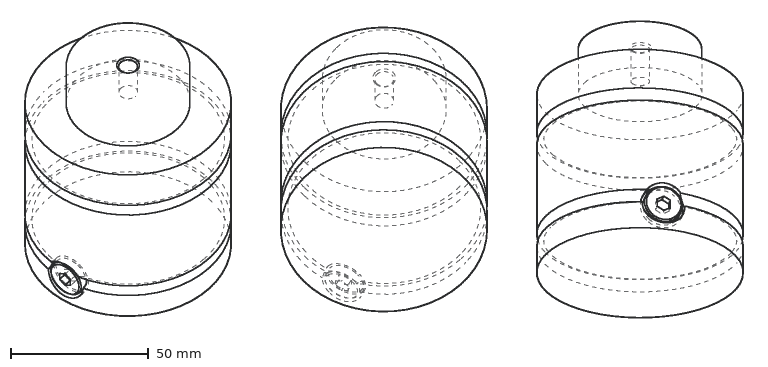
import cadquery as cq
import math

total_height = 91.0
body_diameter = 75.0
body_height = 72.0
rod_diameter = 45.0
rod_edge_radius = 1.0
body_radius = body_diameter / 2

groove_radius = 2.5
groove_heights = (13.0, 54.0)

hole_diameter = 6.8
hole_mouth_diameter = 8.2
hole_depth = 13.65
drill_tip_angle = 118.0

port_height = 10.6
port_diameter = 16.0
port_depth = 4.0
plug_diameter = 14.0
plug_recess = 0.5
plug_chamfer = 0.55
hex_across_flats = 5.0
hex_depth = 3.0


def make_body():
    body = cq.Workplane("XY").circle(body_radius).extrude(body_height)
    rod = cq.Workplane("XY").circle(rod_diameter / 2).extrude(total_height)
    return body.union(rod.faces(">Z").edges().fillet(rod_edge_radius))


def make_groove(height):
    """Ring whose section is a circle centred on the body surface."""
    return cq.Workplane("XY").add(
        cq.Solid.makeTorus(body_radius, groove_radius, cq.Vector(0, 0, height))
    )


def make_rod_hole():
    """Blind drilled hole with a 45 degree mouth chamfer."""
    radius = hole_diameter / 2
    mouth_radius = hole_mouth_diameter / 2
    mouth_depth = mouth_radius - radius
    tip_length = radius / math.tan(math.radians(drill_tip_angle / 2))
    floor = total_height - hole_depth
    return (
        cq.Workplane("XZ")
        .moveTo(0, total_height)
        .lineTo(mouth_radius, total_height)
        .lineTo(radius, total_height - mouth_depth)
        .lineTo(radius, floor)
        .lineTo(0, floor - tip_length)
        .close()
        .revolve(360, (0, 0, 0), (0, 1, 0))
    )


def port_plane(depth):
    """Plane facing -Y on the port axis, at a depth below the body surface."""
    origin = (0, depth - body_radius, port_height)
    return cq.Workplane("XZ", origin=origin)


def make_port():
    return port_plane(port_depth).circle(port_diameter / 2).extrude(port_depth)


def make_plug():
    """Chamfered round plug with a hexagon socket, corners up and down."""
    plug = port_plane(port_depth).circle(plug_diameter / 2).extrude(port_depth - plug_recess)
    plug = plug.faces("<Y").edges().chamfer(plug_chamfer)
    hex_across_corners = hex_across_flats / math.cos(math.radians(30))
    socket = (
        port_plane(plug_recess)
        .transformed(rotate=(0, 0, 90))
        .polygon(6, hex_across_corners)
        .extrude(-hex_depth)
    )
    return plug.cut(socket)


result = make_body()
for groove_height in groove_heights:
    result = result.cut(make_groove(groove_height))
result = result.cut(make_rod_hole()).cut(make_port()).union(make_plug())